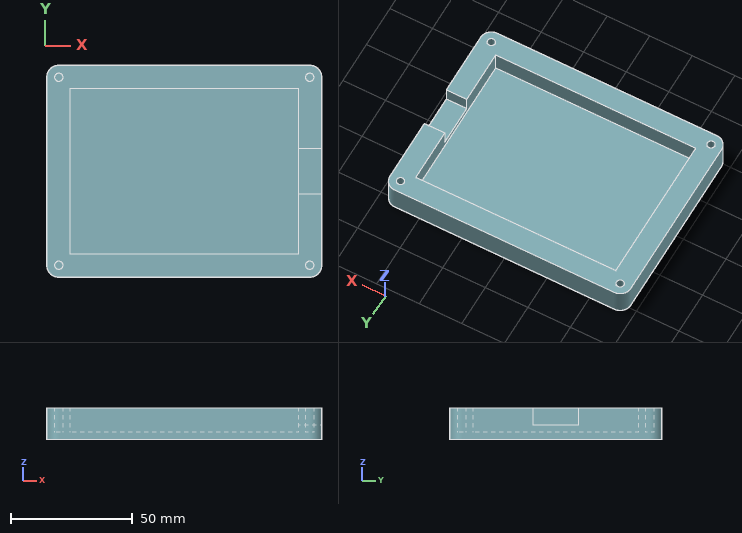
import cadquery as cq

length = 113.2
width = 87.3
height = 13.0
corner_radius = 5.0

wall = 9.6
pocket_depth = 10.0
pocket_length = length - 2 * wall
pocket_width = width - 2 * wall

notch_width = 18.7
notch_depth = 7.0

hole_diameter = 3.4
hole_depth = pocket_depth
hole_spacing_x = length - 2 * corner_radius
hole_spacing_y = width - 2 * corner_radius


def make_body():
    """Solid block with rounded vertical edges, standing on Z = 0."""
    block = cq.Workplane("XY").box(length, width, height, centered=(True, True, False))
    return block.edges("|Z").fillet(corner_radius)


def make_pocket():
    """Rectangular cavity sunk from the rim."""
    return (
        cq.Workplane("XY")
        .workplane(offset=height - pocket_depth)
        .rect(pocket_length, pocket_width)
        .extrude(pocket_depth)
    )


def make_notch():
    """Opening from the pocket out through the +X wall."""
    return (
        cq.Workplane("XY")
        .workplane(offset=height - notch_depth)
        .center(length / 2 - wall / 2, 0)
        .rect(wall, notch_width)
        .extrude(notch_depth)
    )


def make_holes():
    """Four blind screw holes sunk from the rim."""
    return (
        cq.Workplane("XY")
        .workplane(offset=height - hole_depth)
        .rect(hole_spacing_x, hole_spacing_y, forConstruction=True)
        .vertices()
        .circle(hole_diameter / 2)
        .extrude(hole_depth)
    )


result = make_body().cut(make_pocket()).cut(make_notch()).cut(make_holes())